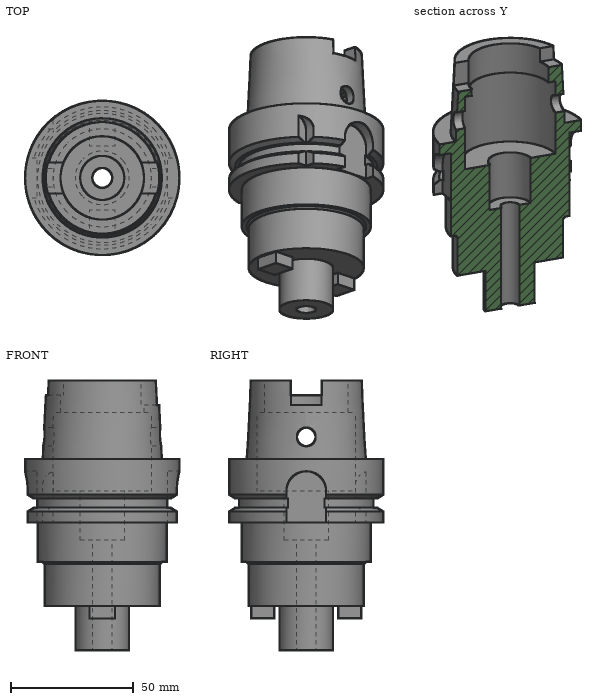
import cadquery as cq
import math


shank_height = 32.0
taper_gauge_radius = 24.03
taper_gauge_height = 6.3
taper_slope = 0.5 / 9.98
shank_base_radius = taper_gauge_radius + taper_gauge_height * taper_slope
shank_top_radius = shank_base_radius - shank_height * taper_slope

rim_slot_width = 12.54
shallow_rim_slot_depth = 6.0
deep_rim_slot_depth = 10.0

mouth_radius = 17.0
mouth_depth = 13.0
chamber_radius = 20.0
chamber_floor_z = -13.0
coolant_bore_radius = 9.0
coolant_bore_depth = 20.0
through_hole_radius = 4.0
cross_hole_radius = 3.75
cross_hole_z = 9.0

flange_radius = 31.5
flange_height = 26.0
groove_center_z = -18.0
groove_root_radius = 27.5
groove_lip_radius = 29.0
groove_root_width = 3.75
groove_mouth_width = 7.0

keyway_width = 16.2
keyway_floor_x = 26.5
keyway_top_z = -5.0

notch_corner = 20.0
notch_corner_radius = 6.0
notch_top_z = -5.0

collar_radius = 26.35
collar_bottom_z = -42.0
neck_radius = 23.5
neck_chamfer = 0.9
neck_bottom_z = -60.0

spigot_radius = 11.0
spigot_length = 18.0
spigot_bottom_z = neck_bottom_z - spigot_length
key_width = 10.4
key_height = 5.0
key_inner_y = 13.0
key_outer_y = 22.5


def make_outer_body():
    """Revolved outside shape, from the spigot tip up to the shank rim."""
    root_half = groove_root_width / 2
    mouth_half = groove_mouth_width / 2
    outline = [
        (0, spigot_bottom_z),
        (spigot_radius, spigot_bottom_z),
        (spigot_radius, neck_bottom_z),
        (neck_radius, neck_bottom_z),
        (neck_radius, collar_bottom_z - neck_chamfer),
        (neck_radius + neck_chamfer, collar_bottom_z),
        (collar_radius, collar_bottom_z),
        (collar_radius, -flange_height),
        (flange_radius, -flange_height),
        (flange_radius, groove_center_z - mouth_half),
        (groove_lip_radius, groove_center_z - root_half),
        (groove_root_radius, groove_center_z - root_half),
        (groove_root_radius, groove_center_z + root_half),
        (groove_lip_radius, groove_center_z + root_half),
        (flange_radius, groove_center_z + mouth_half),
        (flange_radius, 0),
        (shank_base_radius, 0),
        (shank_top_radius, shank_height),
        (0, shank_height),
    ]
    return cq.Workplane("XZ").polyline(outline).close().revolve(360, (0, 0, 0), (0, 1, 0))


def make_bore():
    """Revolved hollow: mouth, wider chamber, coolant bore and through hole."""
    mouth_bottom_z = shank_height - mouth_depth
    coolant_bore_bottom_z = chamber_floor_z - coolant_bore_depth
    outline = [
        (0, spigot_bottom_z),
        (through_hole_radius, spigot_bottom_z),
        (through_hole_radius, coolant_bore_bottom_z),
        (coolant_bore_radius, coolant_bore_bottom_z),
        (coolant_bore_radius, chamber_floor_z),
        (chamber_radius, chamber_floor_z),
        (chamber_radius, mouth_bottom_z),
        (mouth_radius, mouth_bottom_z),
        (mouth_radius, shank_height),
        (0, shank_height),
    ]
    return cq.Workplane("XZ").polyline(outline).close().revolve(360, (0, 0, 0), (0, 1, 0))


def make_cross_hole():
    """Round hole along X through both walls of the shank."""
    hole = cq.Workplane("YZ").center(0, cross_hole_z).circle(cross_hole_radius)
    return hole.extrude(flange_radius, both=True)


def make_rim_slot(side, depth):
    """Rectangular slot through the shank rim on the given X side (+1 or -1)."""
    slot = cq.Workplane("XY").box(flange_radius, rim_slot_width, depth, centered=(True, True, False))
    return slot.translate((side * flange_radius / 2, 0, shank_height - depth))


def make_keyway(side):
    """Round-topped, flat-floored keyway in the flange on the given X side."""
    half_width = keyway_width / 2
    arch_start_z = keyway_top_z - half_width
    profile = (
        cq.Workplane("YZ", origin=(side * keyway_floor_x, 0, 0))
        .moveTo(-half_width, -flange_height)
        .lineTo(-half_width, arch_start_z)
        .threePointArc((0, keyway_top_z), (half_width, arch_start_z))
        .lineTo(half_width, -flange_height)
        .close()
    )
    return profile.extrude(side * (flange_radius - keyway_floor_x))


def make_orientation_notch():
    """Two-walled notch at the flange edge, with a rounded upper corner."""
    arc_center_y = notch_corner + notch_corner_radius
    arc_center_z = notch_top_z - notch_corner_radius
    diagonal = notch_corner_radius * math.sqrt(0.5)
    profile = (
        cq.Workplane("YZ", origin=(-notch_corner, 0, 0))
        .moveTo(notch_corner, -flange_height)
        .lineTo(notch_corner, arc_center_z)
        .threePointArc((arc_center_y - diagonal, arc_center_z + diagonal), (arc_center_y, notch_top_z))
        .lineTo(flange_radius, notch_top_z)
        .lineTo(flange_radius, -flange_height)
        .close()
    )
    return profile.extrude(notch_corner - flange_radius)


def make_drive_key(side):
    """Rectangular drive key under the neck on the given Y side."""
    key_length = key_outer_y - key_inner_y
    key_center_y = side * (key_inner_y + key_outer_y) / 2
    key = cq.Workplane("XY").box(key_width, key_length, key_height)
    return key.translate((0, key_center_y, neck_bottom_z - key_height / 2))


result = make_outer_body().cut(make_bore()).cut(make_cross_hole())
result = result.cut(make_rim_slot(-1, shallow_rim_slot_depth))
result = result.cut(make_rim_slot(1, deep_rim_slot_depth))
for side in (-1, 1):
    result = result.cut(make_keyway(side))
    result = result.union(make_drive_key(side))
result = result.cut(make_orientation_notch())